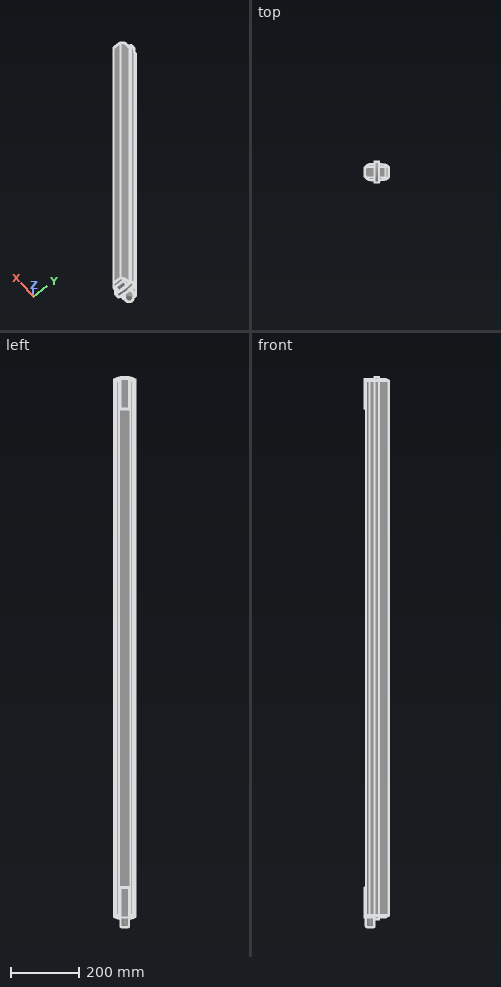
import cadquery as cq

OVERALL_WIDTH = 71.0
OVERALL_DEPTH = 61.54
OVERALL_LENGTH = 1607.78

TAB_THICKNESS = 4.0
RIGHT_X = OVERALL_WIDTH / 2
LEFT_X = TAB_THICKNESS - OVERALL_WIDTH / 2
LEFT_HALF_WIDTH = 17.0
PLATEAU_X = 21.8
LEFT_PLATEAU_HALF_DEPTH = 23.4
RIGHT_PLATEAU_HALF_DEPTH = 24.1
RIGHT_SHOULDER_HALF_DEPTH = 22.3
RIGHT_ARC_MID = (29.7, 18.9)
RIGHT_HALF_WIDTH = 13.0
RIB_HALF_WIDTH = 7.3
RIB_HALF_DEPTH = OVERALL_DEPTH / 2

CAP_HEIGHT = 6.0
CAP_SIDE_HEIGHT = 0.5
CAP_FLAT_HALF_DEPTH = 15.5
CAP_FLAT_RIGHT_X = 25.0
RIB_CROWN_HEIGHT = 12.1
RIB_END_HEIGHT = 4.0
TAB_LENGTH = 82.4
TAB_BASE_WIDTH = 30.0
TAB_TAPER = 35.0

CONNECTOR_DIAMETER = 25.59
CONNECTOR_X = -19.4
CONNECTOR_TIP_FILLET = 6.0
CONNECTOR_DROP = 35.4

TOP_Z = OVERALL_LENGTH / 2
HOUSING_TOP_Z = TOP_Z - RIB_CROWN_HEIGHT
HOUSING_BOTTOM_Z = CONNECTOR_DROP - TOP_Z


def housing_outline():
    """Closed outline of the housing without its central rib."""
    arc_x, arc_y = RIGHT_ARC_MID
    return (
        cq.Workplane("XY")
        .moveTo(LEFT_X, -LEFT_HALF_WIDTH)
        .lineTo(-PLATEAU_X, -LEFT_PLATEAU_HALF_DEPTH)
        .lineTo(-RIB_HALF_WIDTH, -RIGHT_PLATEAU_HALF_DEPTH)
        .lineTo(RIB_HALF_WIDTH, -RIGHT_PLATEAU_HALF_DEPTH)
        .lineTo(PLATEAU_X, -RIGHT_SHOULDER_HALF_DEPTH)
        .threePointArc((arc_x, -arc_y), (RIGHT_X, -RIGHT_HALF_WIDTH))
        .lineTo(RIGHT_X, RIGHT_HALF_WIDTH)
        .threePointArc((arc_x, arc_y), (PLATEAU_X, RIGHT_SHOULDER_HALF_DEPTH))
        .lineTo(RIB_HALF_WIDTH, RIGHT_PLATEAU_HALF_DEPTH)
        .lineTo(-RIB_HALF_WIDTH, RIGHT_PLATEAU_HALF_DEPTH)
        .lineTo(-PLATEAU_X, LEFT_PLATEAU_HALF_DEPTH)
        .lineTo(LEFT_X, LEFT_HALF_WIDTH)
        .close()
    )


def make_housing():
    """Long extrusion with a central rib on its -Y and +Y sides."""
    length = HOUSING_TOP_Z - HOUSING_BOTTOM_Z
    rib = cq.Workplane("XY").rect(2 * RIB_HALF_WIDTH, 2 * RIB_HALF_DEPTH).extrude(length)
    return housing_outline().extrude(length).union(rib).translate((0, 0, HOUSING_BOTTOM_Z))


def bevelled_cap_plate():
    """Cap plate that slopes down toward -Y, +Y and +X."""
    depth_profile = (
        cq.Workplane("YZ")
        .polyline([
            (-RIGHT_PLATEAU_HALF_DEPTH, 0),
            (RIGHT_PLATEAU_HALF_DEPTH, 0),
            (RIGHT_PLATEAU_HALF_DEPTH, CAP_SIDE_HEIGHT),
            (CAP_FLAT_HALF_DEPTH, CAP_HEIGHT),
            (-CAP_FLAT_HALF_DEPTH, CAP_HEIGHT),
            (-RIGHT_PLATEAU_HALF_DEPTH, CAP_SIDE_HEIGHT),
        ])
        .close()
        .extrude(RIGHT_X, both=True)
    )
    width_profile = (
        cq.Workplane("XZ")
        .polyline([
            (LEFT_X, 0),
            (RIGHT_X, 0),
            (RIGHT_X, CAP_SIDE_HEIGHT),
            (CAP_FLAT_RIGHT_X, CAP_HEIGHT),
            (LEFT_X, CAP_HEIGHT),
        ])
        .close()
        .extrude(RIB_HALF_DEPTH, both=True)
    )
    return housing_outline().extrude(CAP_HEIGHT).intersect(depth_profile).intersect(width_profile)


def crowned_rib():
    """Continuation of the housing rib, with an arched end."""
    return (
        cq.Workplane("YZ")
        .moveTo(-RIB_HALF_DEPTH, 0)
        .lineTo(RIB_HALF_DEPTH, 0)
        .lineTo(RIB_HALF_DEPTH, RIB_END_HEIGHT)
        .threePointArc((0, RIB_CROWN_HEIGHT), (-RIB_HALF_DEPTH, RIB_END_HEIGHT))
        .close()
        .extrude(RIB_HALF_WIDTH, both=True)
    )


def side_tab():
    """Tab that lies on the -X face, with sloped sides and tip and a square outer end."""
    pad_top = CAP_HEIGHT + TAB_THICKNESS
    pad_length = pad_top + TAB_LENGTH
    pad = (
        cq.Workplane("YZ", origin=(LEFT_X, 0, pad_top - pad_length / 2))
        .rect(TAB_BASE_WIDTH, pad_length)
        .extrude(-TAB_THICKNESS, taper=TAB_TAPER)
    )
    trim = (
        cq.Workplane("XY", origin=(0, 0, CAP_HEIGHT))
        .rect(OVERALL_WIDTH, OVERALL_DEPTH)
        .extrude(TAB_THICKNESS)
    )
    return pad.cut(trim)


def make_cap():
    """End cap that seats on the XY plane and points toward +Z."""
    return bevelled_cap_plate().union(crowned_rib()).union(side_tab())


def connector():
    """Round connector with a rounded tip, from the bottom end of the housing downward."""
    return (
        cq.Workplane("XY", origin=(CONNECTOR_X, 0, HOUSING_BOTTOM_Z))
        .circle(CONNECTOR_DIAMETER / 2)
        .extrude(-CONNECTOR_DROP)
        .faces("<Z")
        .edges()
        .fillet(CONNECTOR_TIP_FILLET)
    )


housing = make_housing()
top_cap = make_cap().translate((0, 0, HOUSING_TOP_Z))
bottom_cap = make_cap().mirror("XY").translate((0, 0, HOUSING_BOTTOM_Z)).union(connector())

result = cq.Compound.makeCompound([housing.val(), top_cap.val(), bottom_cap.val()])